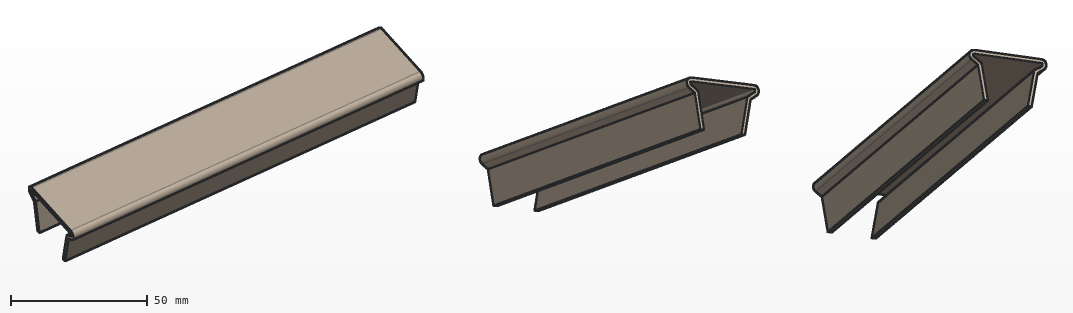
import cadquery as cq
import math

length = 152.4
width = 30.5
height = 19.0
thickness = 1.5
bend_radius = 2.1
lip_angle = 35.0
leg_angle = 10.0
leg_tip_x = 9.5

top_z = height / 2
bottom_z = -height / 2
bend_x = width / 2 - bend_radius
bend_z = top_z - bend_radius
lip_slope = math.tan(math.radians(lip_angle))
leg_slope = math.tan(math.radians(leg_angle))
leg_width = thickness / math.cos(math.radians(leg_angle))


def bend_point(radius, angle):
    """Point on the right bend, with the angle measured from +X."""
    turn = math.radians(angle)
    return bend_x + radius * math.cos(turn), bend_z + radius * math.sin(turn)


def skin(radius, tip_x):
    """Points down one face of the right half: top, mid-bend, lip start, corner, tip."""
    lip_x, lip_z = bend_point(radius, lip_angle - 90)
    rise = (lip_z - bottom_z + lip_slope * (tip_x - lip_x)) / (1 - lip_slope * leg_slope)
    corner = (tip_x + leg_slope * rise, bottom_z + rise)
    return [
        bend_point(radius, 90),
        bend_point(radius, 0),
        (lip_x, lip_z),
        corner,
        (tip_x, bottom_z),
    ]


def mirrored(points):
    """Left-hand copy of the points, in reverse order."""
    return [(-x, z) for x, z in reversed(points)]


outer = skin(bend_radius, leg_tip_x)
inner = skin(bend_radius - thickness, leg_tip_x - leg_width)
outer_left = mirrored(outer)
inner_left = mirrored(inner)

profile = (
    cq.Workplane("XZ")
    .moveTo(*outer[0])
    .threePointArc(outer[1], outer[2])
    .lineTo(*outer[3])
    .lineTo(*outer[4])
    .lineTo(*inner[4])
    .lineTo(*inner[3])
    .lineTo(*inner[2])
    .threePointArc(inner[1], inner[0])
    .lineTo(*inner_left[4])
    .threePointArc(inner_left[3], inner_left[2])
    .lineTo(*inner_left[1])
    .lineTo(*inner_left[0])
    .lineTo(*outer_left[0])
    .lineTo(*outer_left[1])
    .lineTo(*outer_left[2])
    .threePointArc(outer_left[3], outer_left[4])
    .close()
)

result = profile.extrude(length / 2, both=True)